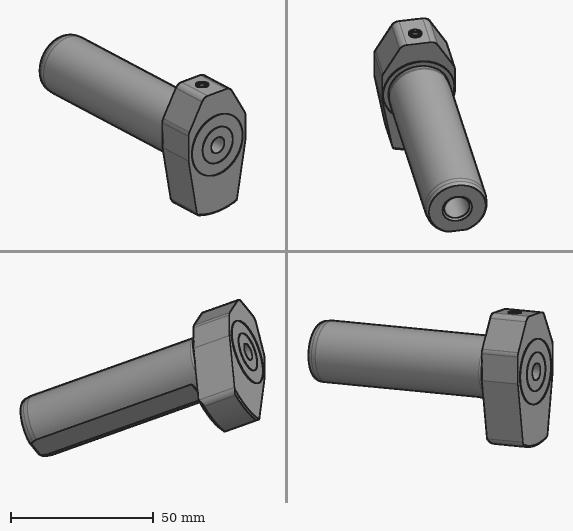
import cadquery as cq
import math

total_length = 85.0

shaft_radius = 22.0 / 2
relief_radius = 21.6 / 2
end_face_radius = 10.1
end_round_length = 1.5
lead_in_end = 3.15
groove_start = 67.9
groove_floor_start = 68.8
groove_floor_end = 69.5

flat_height = 10.1
flat_length = 64.85
end_edge_drop = 0.6

head_start = 70.3
head_end = 84.6
head_half_width = 13.0
head_top = 20.4
head_bottom_radius = 26.6
top_half_width = 5.95
shoulder_slope = math.radians(60)
taper_start_height = -2.2
taper_angle = math.radians(10)
corner_radius = 3.0
bottom_corner_radius = 2.55
front_bevel = 1.2
back_bevel = 0.6

front_pad_radius = 12.7
front_pad_thickness = 0.4
back_pad_radius = 11.6
back_pad_end = 84.8
back_boss_radius = 6.9

mouth_radius = 10.5 / 2
counterbore_radius = 9.0 / 2
counterbore_depth = 17.0
step_radius = 8.2 / 2
step_depth = 25.5
bore_radius = 6.0 / 2

screw_x = 76.4
screw_hole_radius = 4.6 / 2
screw_radius = 4.0 / 2
screw_tip_radius = 1.5
screw_recess_depth = 0.5
socket_radius = 2.3 / 2
socket_depth = 1.7
socket_cone_height = 0.7


def revolve_about_x(profile):
    """Revolve a closed (x, radius) sketch about the shaft axis."""
    return profile.close().revolve(360, (0, 0, 0), (1, 0, 0))


def disc(start, end, radius):
    return cq.Workplane("YZ", origin=(start, 0, 0)).circle(radius).extrude(end - start)


def make_shaft():
    rise = relief_radius - end_face_radius
    round_radius = (end_round_length**2 + rise**2) / (2 * rise)
    half_sweep = math.asin(end_round_length / round_radius) / 2
    round_mid = (end_round_length - round_radius * math.sin(half_sweep),
                 relief_radius - round_radius * (1 - math.cos(half_sweep)))
    profile = (
        cq.Workplane("XY")
        .lineTo(0, end_face_radius)
        .threePointArc(round_mid, (end_round_length, relief_radius))
        .lineTo(lead_in_end, shaft_radius)
        .lineTo(groove_start, shaft_radius)
        .lineTo(groove_floor_start, relief_radius)
        .lineTo(groove_floor_end, relief_radius)
        .lineTo(head_start, shaft_radius)
        .lineTo(head_start, 0)
    )
    run_out = shaft_radius - flat_height
    flat_cut = (
        cq.Workplane("XZ")
        .moveTo(0, end_edge_drop - flat_height)
        .lineTo(end_edge_drop, -flat_height)
        .lineTo(flat_length, -flat_height)
        .lineTo(flat_length + run_out, -shaft_radius)
        .lineTo(0, -shaft_radius)
        .close()
        .extrude(shaft_radius, both=True)
    )
    return revolve_about_x(profile).cut(flat_cut)


def make_head():
    shoulder_height = head_top - (head_half_width - top_half_width) * math.tan(shoulder_slope)
    side_offset = (head_half_width * math.cos(taper_angle)
                   + taper_start_height * -math.sin(taper_angle))
    along_side = math.sqrt(head_bottom_radius**2 - side_offset**2)
    bottom_y = side_offset * math.cos(taper_angle) - along_side * math.sin(taper_angle)
    bottom_z = -side_offset * math.sin(taper_angle) - along_side * math.cos(taper_angle)
    plate = (
        cq.Workplane("YZ", origin=(head_start, 0, 0))
        .moveTo(-top_half_width, head_top)
        .lineTo(top_half_width, head_top)
        .lineTo(head_half_width, shoulder_height)
        .lineTo(head_half_width, taper_start_height)
        .lineTo(bottom_y, bottom_z)
        .threePointArc((0, -head_bottom_radius), (-bottom_y, bottom_z))
        .lineTo(-head_half_width, taper_start_height)
        .lineTo(-head_half_width, shoulder_height)
        .close()
        .extrude(head_end - head_start)
    )
    middle_height = (shoulder_height + taper_start_height) / 2
    plate = plate.edges(cq.selectors.BoxSelector(
        (head_start, -head_half_width - 0.85, middle_height),
        (head_end, head_half_width + 0.85, head_top + 0.85))).edges("|X").fillet(corner_radius)
    plate = plate.edges(cq.selectors.BoxSelector(
        (head_start, -head_half_width, -head_bottom_radius),
        (head_end, head_half_width, bottom_z + 0.85))).edges("|X").fillet(bottom_corner_radius)

    envelope = revolve_about_x(
        cq.Workplane("XY")
        .moveTo(head_start, 0)
        .lineTo(head_start, head_bottom_radius - front_bevel)
        .lineTo(head_start + front_bevel, head_bottom_radius)
        .lineTo(head_end - back_bevel, head_bottom_radius)
        .lineTo(head_end, head_bottom_radius - back_bevel)
        .lineTo(head_end, 0)
    )
    return plate.intersect(envelope)


def make_pads():
    front_pad = disc(head_start - front_pad_thickness, head_start, front_pad_radius)
    back_pad = disc(head_end, back_pad_end, back_pad_radius)
    back_boss = disc(head_end, total_length, back_boss_radius)
    return front_pad.union(back_pad).union(back_boss)


def make_bore():
    mouth_depth = mouth_radius - counterbore_radius
    return revolve_about_x(
        cq.Workplane("XY")
        .lineTo(0, mouth_radius)
        .lineTo(mouth_depth, counterbore_radius)
        .lineTo(counterbore_depth, counterbore_radius)
        .lineTo(counterbore_depth + counterbore_radius - step_radius, step_radius)
        .lineTo(step_depth, step_radius)
        .lineTo(step_depth + step_radius - bore_radius, bore_radius)
        .lineTo(total_length, bore_radius)
        .lineTo(total_length, 0)
    )


def make_screw_recess():
    """Gap around the bevelled screw end, together with its cone-bottomed socket."""
    profile = (
        cq.Workplane("XZ", origin=(screw_x, 0, head_top))
        .lineTo(screw_hole_radius, 0)
        .lineTo(screw_radius, -screw_recess_depth)
        .lineTo(screw_tip_radius, -screw_recess_depth / 2)
        .lineTo(socket_radius, -screw_recess_depth / 2)
        .lineTo(socket_radius, -socket_depth)
        .lineTo(0, -socket_depth - socket_cone_height)
        .close()
    )
    return profile.revolve(360, (0, 0, 0), (0, 1, 0))


result = (
    make_shaft()
    .union(make_head())
    .union(make_pads())
    .cut(make_bore())
    .cut(make_screw_recess())
)